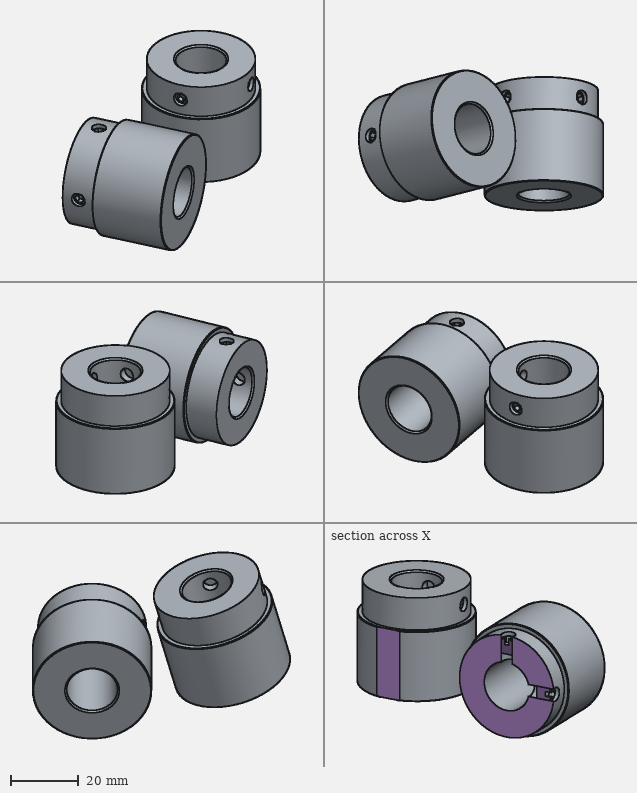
import cadquery as cq
import math

collar_diameter = 32.0
barrel_diameter = 35.0
bore_diameter = 15.0
collar_length = 10.05
total_length = 32.0
barrel_chamfer = 0.2
bore_chamfer = 0.5

screw_diameter = 4.2
screw_length = 5.0
screw_recess = 1.0
socket_flats = 2.5
socket_depth = 1.95
socket_corners = socket_flats / math.cos(math.pi / 6)
screw_chamfer_width = (screw_diameter - socket_flats) / 2
screw_chamfer_height = screw_chamfer_width * math.tan(math.pi / 6)
screw_angles = [-90, 0]

end_offset = 21.0
axis_spacing = 40.0
barrel_end = end_offset - total_length
barrel_length = total_length - collar_length
screw_height = end_offset - collar_length / 2
screw_face_radius = collar_diameter / 2 - screw_recess


def radial_plane(radius, angle):
    """Plane facing outwards at a screw position, with its local X along the hub axis."""
    direction = cq.Vector(math.cos(math.radians(angle)), math.sin(math.radians(angle)), 0)
    origin = direction * radius + cq.Vector(0, 0, screw_height)
    return cq.Plane(origin=origin, xDir=(0, 0, 1), normal=direction)


def make_hub():
    """Stepped hub with a through bore and two radial screw holes."""
    barrel = (
        cq.Workplane("XY", origin=(0, 0, barrel_end))
        .circle(barrel_diameter / 2)
        .extrude(barrel_length)
        .edges("%CIRCLE")
        .chamfer(barrel_chamfer)
    )
    collar = barrel.faces(">Z").workplane().circle(collar_diameter / 2).extrude(collar_length)
    hub = collar.faces(">Z").workplane().circle(bore_diameter / 2).cutThruAll()
    hub = hub.edges(cq.selectors.RadiusNthSelector(0)).edges("%CIRCLE").chamfer(bore_chamfer)
    for angle in screw_angles:
        hole = (
            cq.Workplane(radial_plane(0, angle))
            .circle(screw_diameter / 2)
            .extrude(barrel_diameter / 2)
        )
        hub = hub.cut(hole)
    return hub.val()


def make_screw(angle):
    """Headless set screw with a chamfered outer end and a hexagon socket."""
    outer_face = radial_plane(screw_face_radius, angle)
    shank_plane = radial_plane(screw_face_radius - screw_chamfer_height, angle)
    shank_length = screw_length - screw_chamfer_height
    shank = cq.Workplane(shank_plane).circle(screw_diameter / 2).extrude(-shank_length)
    tip = (
        cq.Workplane(shank_plane)
        .circle(screw_diameter / 2)
        .workplane(offset=screw_chamfer_height)
        .circle(socket_flats / 2)
        .loft(ruled=True)
    )
    socket = cq.Workplane(outer_face).polygon(6, socket_corners).extrude(-socket_depth)
    return shank.union(tip).cut(socket).val()


def place_upright(body):
    """Half whose axis stays along Z."""
    return body.translate(cq.Vector(0, axis_spacing, 0))


def place_lying(body):
    """Half turned so that its narrow end points to -X."""
    return body.rotate(cq.Vector(0, 0, 0), cq.Vector(0, 1, 0), -90)


bodies = []
for place in (place_upright, place_lying):
    bodies.append(place(make_hub()))
    for screw_angle in screw_angles:
        bodies.append(place(make_screw(screw_angle)))

result = cq.Compound.makeCompound(bodies)